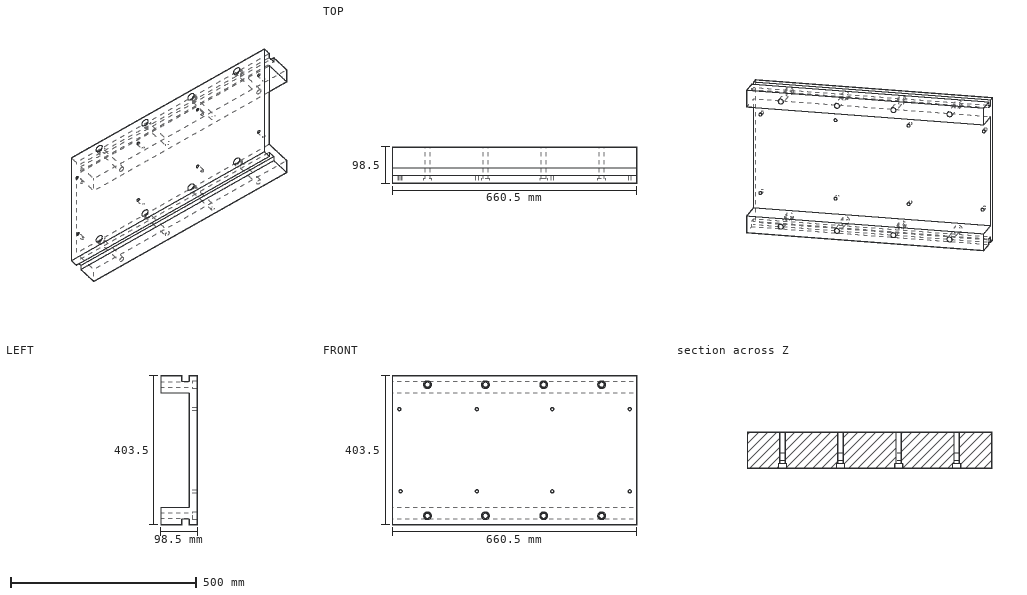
import cadquery as cq

length = 660.5
depth = 98.5
height = 403.5

plate_thickness = 22.0
rail_height = 47.5
groove_width = 20.0
groove_depth = 16.0

bolt_diameter = 14.0
bolt_head_diameter = 21.0
bolt_head_depth = 13.0
bolt_outer_x = 235.0
bolt_inner_x = 78.5
bolt_z = 177.0

pin_diameter = 8.0
pin_outer_x = 311.0
pin_inner_x = 102.0
pin_lower_left_x = -308.0
pin_z = 111.0

front_y = -depth / 2
plate_back_y = front_y + plate_thickness


def make_channel():
    """Block with the rear recess between the rails and a groove in each outer edge."""
    body = cq.Workplane("XY").box(length, depth, height)
    recess_depth = depth - plate_thickness
    recess_y = plate_back_y + recess_depth / 2
    recess = cq.Workplane("XY").box(length, recess_depth, height - 2 * rail_height)
    body = body.cut(recess.translate((0, recess_y, 0)))

    groove_y = plate_back_y + groove_width / 2
    groove_z = (height - groove_depth) / 2
    groove = cq.Workplane("XY").box(length, groove_width, groove_depth)
    for side in (1, -1):
        body = body.cut(groove.translate((0, groove_y, side * groove_z)))
    return body


def front_cylinders(points, diameter, cylinder_depth):
    """Cylinders at (x, z) points, running from the front face toward +Y."""
    plane = cq.Workplane("XZ", origin=(0, front_y, 0))
    return plane.pushPoints(points).circle(diameter / 2).extrude(-cylinder_depth)


bolt_row = (-bolt_outer_x, -bolt_inner_x, bolt_inner_x, bolt_outer_x)
bolt_points = [(x, z) for x in bolt_row for z in (-bolt_z, bolt_z)]

upper_pin_row = (-pin_outer_x, -pin_inner_x, pin_inner_x, pin_outer_x)
lower_pin_row = (pin_lower_left_x, -pin_inner_x, pin_inner_x, pin_outer_x)
pin_points = [(x, pin_z) for x in upper_pin_row] + [(x, -pin_z) for x in lower_pin_row]

result = make_channel()
result = result.cut(front_cylinders(bolt_points, bolt_diameter, depth))
result = result.cut(front_cylinders(bolt_points, bolt_head_diameter, bolt_head_depth))
result = result.cut(front_cylinders(pin_points, pin_diameter, plate_thickness))